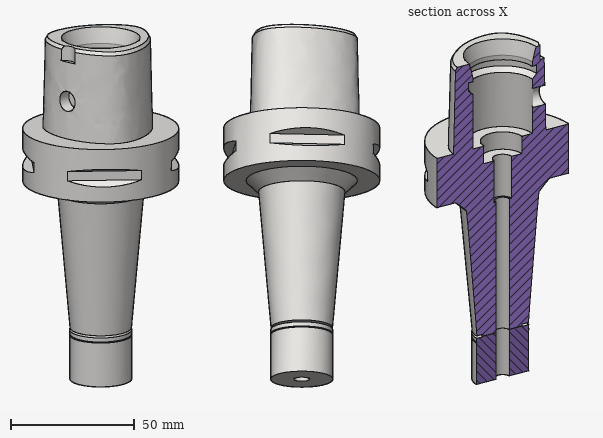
import cadquery as cq
import math


shank_height = 38.0
shank_base_radius = 22.2
shank_lobe = 1.5
shank_taper = 1 / 40
rim_chamfer_width = 0.9
rim_chamfer_height = 1.5
curve_points = 48

flange_radius = 63.0 / 2
flange_bottom = -22.0
shoulder_radius = 22.5
nose_top_radius = 17.5
nose_top = -26.7
nose_end_radius = 12.5
nose_end = -83.5
neck_radius = 9.5
neck_height = 0.9

total_length = 143

nut_radius = 12.6
nut_top = nose_end - neck_height
nut_bottom = shank_height - total_length
nut_collar_height = 1.7
nut_groove_width = 0.5
nut_groove_depth = 0.07

bore_mouth_radius = 15.9
bore_radius = 14.2
mouth_cone_depth = 6.5
groove_start_depth = 8.5
groove_end_depth = 12.0
groove_radius = 16.2
bore_depth = 38.0
counterbore_radius = 9.0
counterbore_depth = 45.8
upper_hole_radius = 4.1
upper_hole_depth = 64.4
through_hole_radius = 3.1

notch_radius = 4.65
notch_floor_y = -17.9
notch_depth = 6.1
radial_hole_radius = 4.1
radial_hole_z = 15.6
radial_hole_floor_y = -14.6

gripper_count = 4
gripper_z = -12.0
gripper_floor_distance = 27.7
gripper_floor_height = 3.9
gripper_mouth_height = 7.5


def lobed_wire(mean_radius, z):
    """Closed curve of constant width with one lobe pointing along +Y."""
    points = []
    for i in range(curve_points):
        t = 2 * math.pi * i / curve_points
        along = mean_radius * math.cos(t) + shank_lobe * (2 * math.cos(2 * t) - math.cos(4 * t))
        across = mean_radius * math.sin(t) - shank_lobe * (2 * math.sin(2 * t) + math.sin(4 * t))
        points.append(cq.Vector(-across, along, z))
    return cq.Wire.assembleEdges([cq.Edge.makeSpline(points, periodic=True)])


def make_shank():
    chamfer_z = shank_height - rim_chamfer_height
    chamfer_radius = shank_base_radius - chamfer_z * shank_taper
    base = lobed_wire(shank_base_radius, 0)
    edge = lobed_wire(chamfer_radius, chamfer_z)
    rim = lobed_wire(chamfer_radius - rim_chamfer_width, shank_height)
    taper = cq.Workplane(cq.Solid.makeLoft([base, edge], True))
    return taper.union(cq.Workplane(cq.Solid.makeLoft([edge, rim], True)))


def revolve_profile(points):
    """Revolve (radius, z) points about the Z axis."""
    return cq.Workplane("XZ").polyline(points).close().revolve(360, (0, 0, 0), (0, 1, 0))


def make_flange_and_nose():
    return revolve_profile([
        (0, 0),
        (flange_radius, 0),
        (flange_radius, flange_bottom),
        (shoulder_radius, flange_bottom),
        (nose_top_radius, nose_top),
        (nose_end_radius, nose_end),
        (neck_radius, nose_end),
        (neck_radius, nut_top),
        (0, nut_top),
    ])


def make_bore():
    groove_cone_end = groove_end_depth + groove_radius - bore_radius
    steps = [
        (0, 0),
        (bore_mouth_radius, 0),
        (bore_radius, mouth_cone_depth),
        (bore_radius, groove_start_depth),
        (groove_radius, groove_start_depth),
        (groove_radius, groove_end_depth),
        (bore_radius, groove_cone_end),
        (bore_radius, bore_depth),
        (counterbore_radius, bore_depth),
        (counterbore_radius, counterbore_depth),
        (upper_hole_radius, counterbore_depth),
        (upper_hole_radius, upper_hole_depth),
        (through_hole_radius, upper_hole_depth),
        (through_hole_radius, shank_height - nut_top),
        (0, shank_height - nut_top),
    ]
    return revolve_profile([(radius, shank_height - depth) for radius, depth in steps])


def make_notch():
    return (
        cq.Workplane("XY", origin=(0, notch_floor_y - notch_radius, shank_height - notch_depth))
        .circle(notch_radius)
        .extrude(notch_depth)
    )


def make_radial_hole():
    return (
        cq.Workplane("XZ", origin=(0, radial_hole_floor_y, radial_hole_z))
        .circle(radial_hole_radius)
        .extrude(flange_radius + radial_hole_floor_y)
    )


def make_gripper_groove(angle):
    """Straight groove with a flat floor and flared sides, facing the given angle."""
    floor = gripper_floor_height / 2
    mouth = gripper_mouth_height / 2
    return (
        cq.Workplane("XZ")
        .polyline([
            (gripper_floor_distance, gripper_z - floor),
            (flange_radius, gripper_z - mouth),
            (flange_radius, gripper_z + mouth),
            (gripper_floor_distance, gripper_z + floor),
        ])
        .close()
        .extrude(flange_radius, both=True)
        .rotate((0, 0, 0), (0, 0, 1), angle)
    )


def make_holder():
    holder = make_flange_and_nose().union(make_shank())
    holder = holder.cut(make_bore()).cut(make_notch()).cut(make_radial_hole())
    pitch = 360 / gripper_count
    for i in range(gripper_count):
        holder = holder.cut(make_gripper_groove((i + 0.5) * pitch))
    return holder


def make_nut():
    groove_top = nut_top - nut_collar_height
    groove_bottom = groove_top - nut_groove_width
    groove_floor_radius = nut_radius - nut_groove_depth
    return revolve_profile([
        (through_hole_radius, nut_top),
        (nut_radius, nut_top),
        (nut_radius, groove_top),
        (groove_floor_radius, groove_top),
        (groove_floor_radius, groove_bottom),
        (nut_radius, groove_bottom),
        (nut_radius, nut_bottom),
        (through_hole_radius, nut_bottom),
    ])


holder = make_holder().solids()
nut = make_nut()
result = cq.Compound.makeCompound([holder.val(), nut.val()])